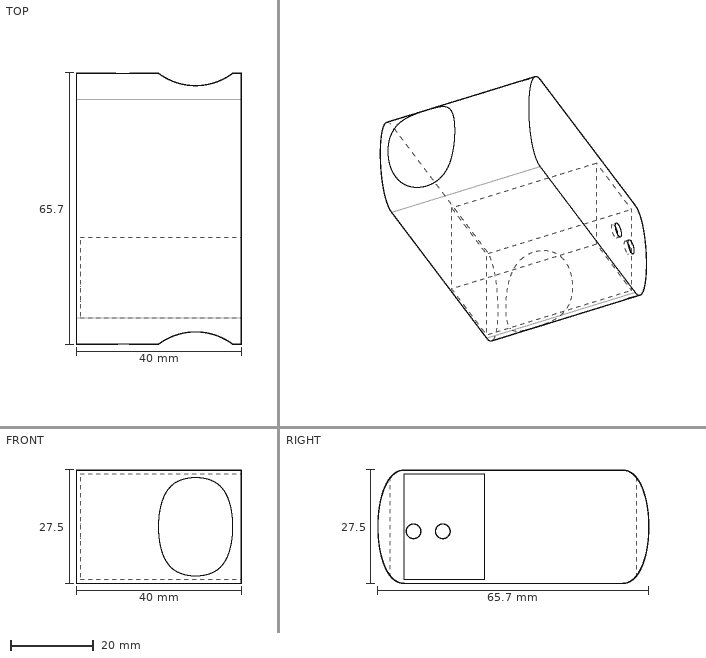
import cadquery as cq

LENGTH_X = 40.0
WIDTH_Y = 65.74
HEIGHT_Z = 27.5
HALF_X = LENGTH_X / 2
HALF_Y = WIDTH_Y / 2
HALF_Z = HEIGHT_Z / 2

FLAT_HALF_Y = 26.5
CONTROL_Y = FLAT_HALF_Y + (HALF_Y - FLAT_HALF_Y) * 4 / 3

SCOOP_RADIUS = 15.0
SCOOP_DEPTH = 3.0
SCOOP_X = 8.9

HOLE_DIAMETER = 3.5
HOLE_PITCH = 7.1
HOLE_PAIR_Y = -20.65
HOLE_Z = -1.1

WALL = 1.0
POCKET_INNER_Y = -7.0
POCKET_OUTER_Y = -FLAT_HALF_Y


def make_body():
    """Extrude the rounded outline along X; each end is one smooth curve."""
    right_end = [(CONTROL_Y, HALF_Z), (CONTROL_Y, -HALF_Z), (FLAT_HALF_Y, -HALF_Z)]
    left_end = [(-y, -z) for y, z in right_end]
    return (
        cq.Workplane("YZ", origin=(-HALF_X, 0, 0))
        .moveTo(-FLAT_HALF_Y, HALF_Z)
        .lineTo(FLAT_HALF_Y, HALF_Z)
        .bezier(right_end, includeCurrent=True)
        .lineTo(-FLAT_HALF_Y, -HALF_Z)
        .bezier(left_end, includeCurrent=True)
        .close()
        .extrude(LENGTH_X)
    )


def make_scoops():
    """Two vertical cylinders that bite into the bulged ends."""
    scoop_y = HALF_Y - SCOOP_DEPTH + SCOOP_RADIUS
    return (
        cq.Workplane("XY", origin=(0, 0, -HALF_Z))
        .pushPoints([(SCOOP_X, -scoop_y), (SCOOP_X, scoop_y)])
        .circle(SCOOP_RADIUS)
        .extrude(HEIGHT_Z)
    )


def make_pocket():
    """Rectangular pocket that leaves a thin wall at -X, top and bottom."""
    return cq.Workplane("XY", origin=(-HALF_X + WALL, POCKET_OUTER_Y, 0)).box(
        LENGTH_X - WALL,
        POCKET_INNER_Y - POCKET_OUTER_Y,
        HEIGHT_Z - 2 * WALL,
        centered=(False, False, True),
    )


def make_holes():
    """Two holes through the -X wall into the pocket."""
    return (
        cq.Workplane("YZ", origin=(-HALF_X, HOLE_PAIR_Y, HOLE_Z))
        .pushPoints([(-HOLE_PITCH / 2, 0), (HOLE_PITCH / 2, 0)])
        .circle(HOLE_DIAMETER / 2)
        .extrude(WALL)
    )


result = make_body().cut(make_scoops()).cut(make_pocket()).cut(make_holes())